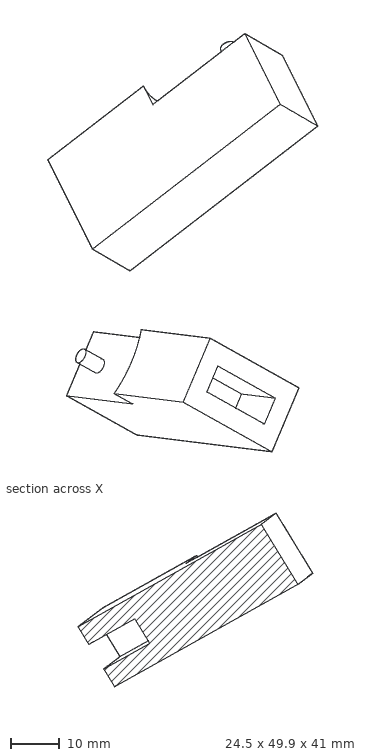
import cadquery as cq

WIDTH = 24.52
LENGTH = 50.8
THICKNESS = 14.52
TILT_ANGLE = 35.0

PIN_DIAMETER = 3.17
STEP_DEPTH = 5.1
STEP_RADIUS = 19.05
PIN_FROM_END = THICKNESS / 2

POCKET_WIDTH = 15.88
POCKET_HEIGHT = 5.85
POCKET_DEPTH = 12.7

SIDE_X = -WIDTH / 2
PIN_Y = LENGTH / 2 - PIN_FROM_END


def cylinder_on_pin_axis(radius):
    """Cylinder along the pin axis, from the -X side to the step floor."""
    return (
        cq.Workplane("YZ", origin=(SIDE_X, PIN_Y, 0))
        .circle(radius)
        .extrude(STEP_DEPTH)
    )


def make_pocket():
    """Pocket volume, centred on the lower end face."""
    return cq.Workplane("XY").box(POCKET_WIDTH, POCKET_DEPTH, POCKET_HEIGHT).translate(
        (0, (POCKET_DEPTH - LENGTH) / 2, 0)
    )


block = cq.Workplane("XY").box(WIDTH, LENGTH, THICKNESS)
stepped_block = block.cut(cylinder_on_pin_axis(STEP_RADIUS))
block_with_pin = stepped_block.union(cylinder_on_pin_axis(PIN_DIAMETER / 2))
flat_part = block_with_pin.cut(make_pocket())

result = flat_part.rotate((0, 0, 0), (1, 0, 0), TILT_ANGLE)